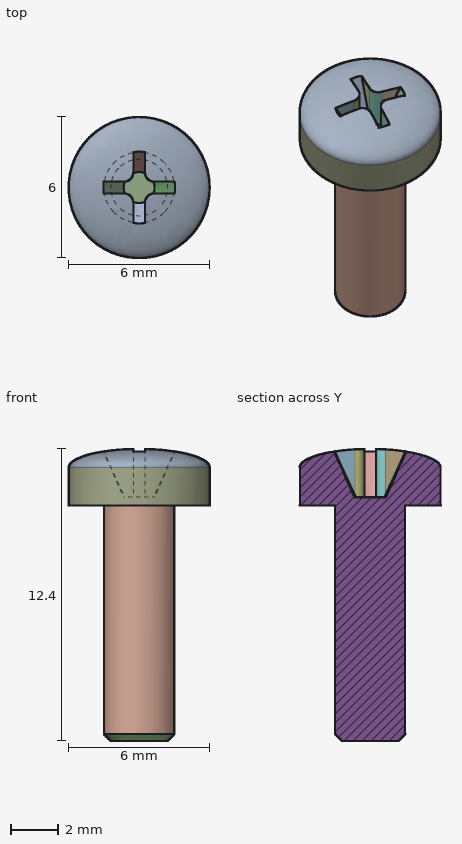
import cadquery as cq
import math

total_height = 12.39
head_height = 2.4
head_diameter = 6.0
shank_diameter = 3.0
tip_chamfer = 0.3

dome_height = 0.79
crown_rise = 0.01

slot_width = 0.5
inner_corner_radius = 0.4
recess_top_radius = 1.52
recess_floor_radius = 0.66
recess_depth = 2.05

head_radius = head_diameter / 2
shank_radius = shank_diameter / 2
head_base_z = total_height - head_height
dome_base_z = total_height - dome_height
dome_peak_z = total_height + crown_rise
dome_rise = dome_peak_z - dome_base_z


def dome_z(radius):
    """Height of the dome surface at a distance from the axis."""
    return dome_base_z + dome_rise * math.sqrt(1 - (radius / head_radius) ** 2)


def make_body():
    """Revolve the half section of the shank and head about Z."""
    return (
        cq.Workplane("XZ")
        .lineTo(shank_radius - tip_chamfer, 0)
        .lineTo(shank_radius, tip_chamfer)
        .lineTo(shank_radius, head_base_z)
        .lineTo(head_radius, head_base_z)
        .lineTo(head_radius, dome_base_z)
        .ellipseArc(head_radius, dome_rise, 0, 90, startAtCurrent=True)
        .close()
        .revolve(360, (0, 0), (0, 1))
    )


def make_recess():
    """Cross-shaped prism with rounded inner corners, trimmed by a cone."""
    floor_z = total_height - recess_depth
    arm_length = 2 * head_diameter
    floor = cq.Workplane("XY", origin=(0, 0, floor_z))
    cross = (
        floor.rect(arm_length, slot_width)
        .extrude(head_height)
        .union(floor.rect(slot_width, arm_length).extrude(head_height))
    )
    inner_corners = cq.selectors.BoxSelector(
        (-slot_width, -slot_width, floor_z),
        (slot_width, slot_width, floor_z + head_height),
    )
    cross = cross.edges("|Z").edges(inner_corners).fillet(inner_corner_radius)

    taper_height = dome_z(recess_top_radius) - floor_z
    taper = (recess_top_radius - recess_floor_radius) / taper_height
    cone = cq.Workplane(
        cq.Solid.makeCone(
            recess_floor_radius,
            recess_floor_radius + taper * head_height,
            head_height,
            pnt=cq.Vector(0, 0, floor_z),
        )
    )
    return cross.intersect(cone)


result = make_body().cut(make_recess())